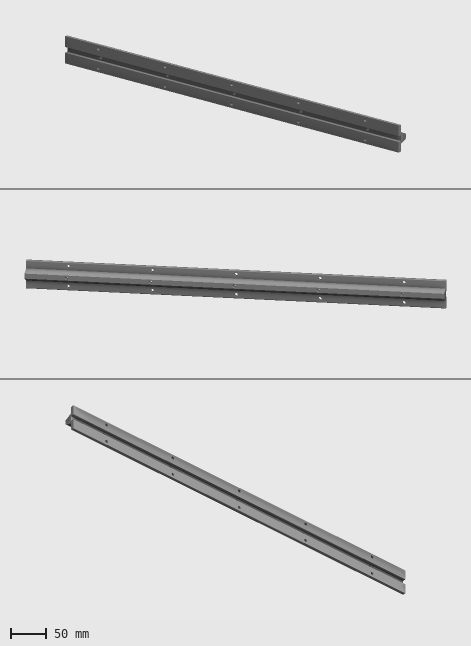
import cadquery as cq

length = 599.5
depth = 17.0
height = 40.0

flange_thickness = 5.5
groove_width = 8.5
corner_radius = 1.0
groove_depth = flange_thickness
ridge_base_width = 17.5
ridge_tip_width = 7.0

hole_diameter = 4.5
hole_columns = 5
hole_pitch = length / hole_columns
hole_row_spacing = 14.5

front_y = -depth / 2
back_y = depth / 2
flange_back_y = front_y + flange_thickness


def make_flange():
    """Flat strip at the front of the rail, with its two long back edges rounded."""
    strip = cq.Workplane("XY").box(length, flange_thickness, height)
    strip = strip.edges("|X and >Y").fillet(corner_radius)
    return strip.translate((0, front_y + flange_thickness / 2, 0))


def make_ridge():
    """Tapered ridge along the middle of the back face."""
    outline = [
        (flange_back_y, -ridge_base_width / 2),
        (back_y, -ridge_tip_width / 2),
        (back_y, ridge_tip_width / 2),
        (flange_back_y, ridge_base_width / 2),
    ]
    return cq.Workplane("YZ").polyline(outline).close().extrude(length / 2, both=True)


def make_groove():
    """Rectangular groove along the middle of the front face."""
    return cq.Workplane("XY").box(length, groove_depth, groove_width).translate(
        (0, front_y + groove_depth / 2, 0)
    )


def make_holes():
    """Cylinders for the hole grid, running through the full depth."""
    first_x = -(hole_columns - 1) * hole_pitch / 2
    centers = [
        (first_x + column * hole_pitch, row * hole_row_spacing)
        for column in range(hole_columns)
        for row in (-1, 0, 1)
    ]
    return (
        cq.Workplane("XZ")
        .pushPoints(centers)
        .circle(hole_diameter / 2)
        .extrude(depth / 2, both=True)
    )


result = make_flange().union(make_ridge()).cut(make_groove()).cut(make_holes())